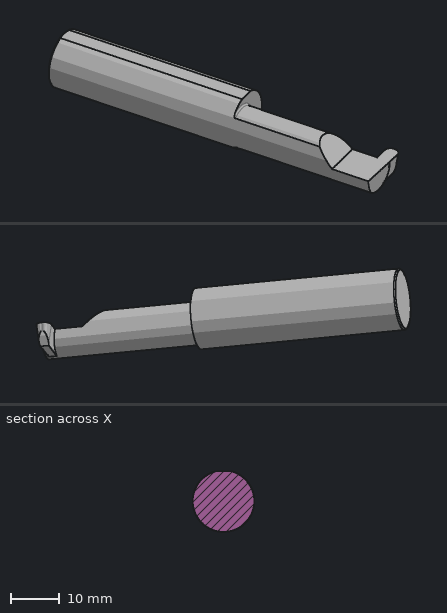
import cadquery as cq
import math

total_length = 76.2
shank_diameter = 12.65
shank_radius = shank_diameter / 2
shank_length = 43.3
height_over_flat = 12.4
flat_z = height_over_flat - shank_radius
rear_chamfer = 0.3

neck_radius = 4.5
neck_side_y = 2.0
neck_center_y = neck_side_y - neck_radius
root_fillet = 0.4

cutting_face_z = 0.0
face_start_x = 67.3
runout_start_x = face_start_x - (neck_radius - cutting_face_z)

tooth_width = 3.1
tooth_corner_radius = 1.45
tooth_relief_angle = 8.0
end_relief_angle = 1.7
tooth_back_x = total_length - tooth_width
tooth_shoulder_y = shank_radius - tooth_corner_radius


def x_cylinder(radius, length, center_y=0.0):
    """Cylinder along X, starting at X = 0."""
    return cq.Workplane("YZ").center(center_y, 0).circle(radius).extrude(length)


def end_x(y):
    """X of the slanted front end, which falls back from the tooth tip toward -Y."""
    return total_length - (tooth_shoulder_y - y) * math.tan(math.radians(end_relief_angle))


def make_shank():
    shank = x_cylinder(shank_radius, shank_length).faces("<X").chamfer(rear_chamfer)
    above_flat = cq.Workplane("XY").box(
        shank_length, shank_diameter, shank_radius, centered=(False, True, False)
    ).translate((0, 0, flat_z))
    return shank.cut(above_flat)


def make_root_fillet():
    """Concave ring that blends the neck into the end face of the shank."""
    profile = (
        cq.Workplane("XY")
        .moveTo(shank_length, neck_center_y)
        .lineTo(shank_length, neck_side_y + root_fillet)
        .radiusArc((shank_length + root_fillet, neck_side_y), -root_fillet)
        .lineTo(shank_length + root_fillet, neck_center_y)
        .close()
    )
    return profile.revolve(360, (0, neck_center_y, 0), (1, neck_center_y, 0))


def make_neck():
    bar = x_cylinder(neck_radius, total_length, neck_center_y)
    bar = bar.union(make_root_fillet())
    bar = bar.intersect(x_cylinder(shank_radius, total_length))
    stretch = (
        cq.Workplane("XY")
        .polyline([
            (shank_length, -shank_radius),
            (end_x(-shank_radius), -shank_radius),
            (total_length, tooth_shoulder_y),
            (shank_length, tooth_shoulder_y),
        ])
        .close()
        .extrude(shank_radius, both=True)
    )
    above_face = (
        cq.Workplane("XZ")
        .polyline([
            (runout_start_x, neck_radius),
            (face_start_x, cutting_face_z),
            (total_length, cutting_face_z),
            (total_length, neck_radius),
        ])
        .close()
        .extrude(shank_radius, both=True)
    )
    return bar.intersect(stretch).cut(above_face)


def make_tooth():
    """Tooth with its flanks and tip tapering inward below the cutting face."""
    tooth = (
        cq.Workplane("XY", origin=(0, 0, cutting_face_z))
        .moveTo(tooth_back_x, neck_center_y)
        .lineTo(end_x(neck_center_y), neck_center_y)
        .lineTo(total_length, tooth_shoulder_y)
        .radiusArc((total_length - tooth_corner_radius, shank_radius), -tooth_corner_radius)
        .lineTo(tooth_back_x + tooth_corner_radius, shank_radius)
        .radiusArc((tooth_back_x, tooth_shoulder_y), -tooth_corner_radius)
        .close()
        .extrude(-neck_radius, taper=tooth_relief_angle)
    )
    return tooth.intersect(x_cylinder(shank_radius, total_length))


result = make_shank().union(make_neck()).union(make_tooth())